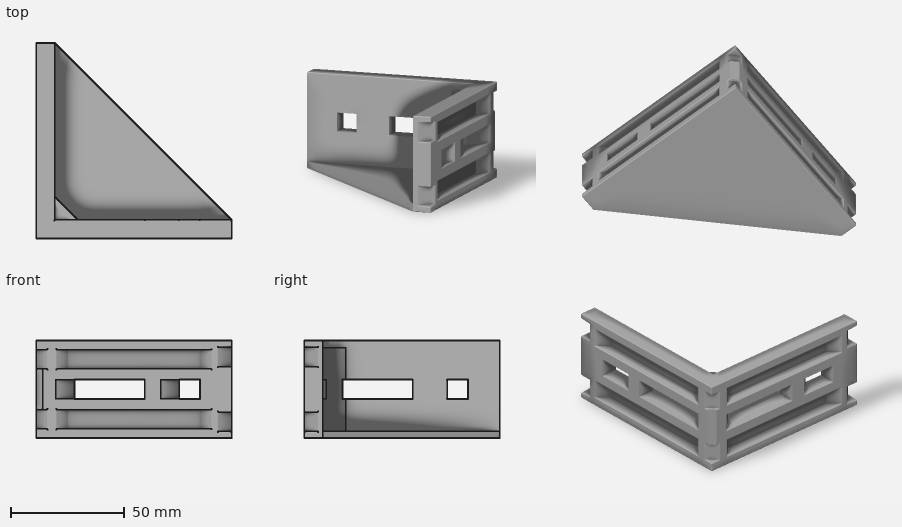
import math

import cadquery as cq

leg = 86.0
height = 43.0
wall = 8.25
edge_radius = 0.45

plate_thickness = 3.0
post_leg = 10.1
post_drop = 3.2
post_radius = 0.3

corner_cut = 2.9

pocket_start = 8.9
pocket_end = 77.1
pocket_depth = 5.0
pocket_floor_radius = 0.5
groove_height = 8.4
groove_offset = 13.15

corner_notch = 4.9
end_notch = 6.15

end_notch_near = 10.0
end_notch_far = 19.0
end_notch_taper = 0.5

slot_height = 8.5
slots = [(8.7, 47.7), (54.7, 71.9)]

mid_z = height / 2
groove_levels = (mid_z - groove_offset, mid_z + groove_offset)


def prism(points, z_center, depth):
    """Vertical prism over a plan outline, centred on a height."""
    base = cq.Workplane("XY", origin=(0, 0, z_center - depth / 2))
    return base.polyline(points).close().extrude(depth)


def cut_on_both_walls(body, cutter):
    """Cut the wall along X, then the wall along Y by mirroring across X = Y."""
    mirrored = cutter.rotate((0, 0, 0), (0, 0, 1), 90).mirror("YZ")
    return body.cut(cutter).cut(mirrored)


def walls():
    outline = [(0, 0), (leg, 0), (leg, wall), (wall, wall), (wall, leg), (0, leg)]
    return prism(outline, mid_z, height)


def cut_pockets(body):
    outline = [
        (pocket_start, 0),
        (pocket_end, 0),
        (pocket_end - pocket_depth, pocket_depth),
        (pocket_start + pocket_depth, pocket_depth),
    ]
    for level in groove_levels:
        pocket = prism(outline, level, groove_height)
        pocket = pocket.faces(">Y").edges("|Z").fillet(pocket_floor_radius)
        body = cut_on_both_walls(body, pocket)
    return body


def cut_corner_notches(body):
    outline = [(0, 0), (corner_notch, 0), (0, corner_notch)]
    for level in groove_levels:
        body = body.cut(prism(outline, level, groove_height))
    return body


def cut_end_notches(body):
    """45 degree notches whose flange side widens by a slight taper towards the open end."""
    floor = cq.Plane(origin=(leg - end_notch, 0, mid_z), xDir=(1, -1, 0), normal=(-1, -1, 0))
    mouth = end_notch / math.sqrt(2)
    for side in (-1, 1):
        profile = [
            (0, side * end_notch_near),
            (mouth, side * end_notch_near),
            (mouth, side * end_notch_far),
            (0, side * (end_notch_far - end_notch_taper)),
        ]
        notch = cq.Workplane(floor).polyline(profile).close().extrude(leg / 2, both=True)
        body = cut_on_both_walls(body, notch)
    return body


def is_inner_upright(edge):
    """True for the upright edges on the inner faces of the walls."""
    middle = edge.Center()
    return edge.BoundingBox().zlen > edge_radius and min(middle.x, middle.y) > wall - edge_radius


def round_outer_edges(body):
    """Round the edges of the outward faces and of the top, leaving the inner uprights sharp."""
    edges = body.faces("<X or <Y or >X or >Y or >Z").edges()
    return edges.filter(lambda edge: not is_inner_upright(edge)).fillet(edge_radius)


def cut_corner(body):
    outline = [(0, 0), (corner_cut, 0), (0, corner_cut)]
    return body.cut(prism(outline, mid_z, 2 * groove_offset - groove_height))


def add_inside(body):
    plate = prism([(wall, wall), (leg, wall), (wall, leg)], plate_thickness / 2, plate_thickness)
    top = height - post_drop
    reach = wall + post_leg
    post = prism([(wall, wall), (reach, wall), (wall, reach)], top / 2, top)
    post = post.faces(">Z").edges(">(1, 1, 0)").fillet(post_radius)
    return body.union(plate).union(post)


def cut_slots(body):
    """The end nearest the corner slants at 45 degrees through the wall, then runs straight past the post."""
    past_post = wall + post_leg
    for start, end in slots:
        outline = [(start, 0), (end, 0), (end, past_post), (start + wall, past_post), (start + wall, wall)]
        body = cut_on_both_walls(body, prism(outline, mid_z, slot_height))
    return body


result = walls()
result = cut_pockets(result)
result = cut_corner_notches(result)
result = cut_end_notches(result)
result = round_outer_edges(result)
result = cut_corner(result)
result = add_inside(result)
result = cut_slots(result)